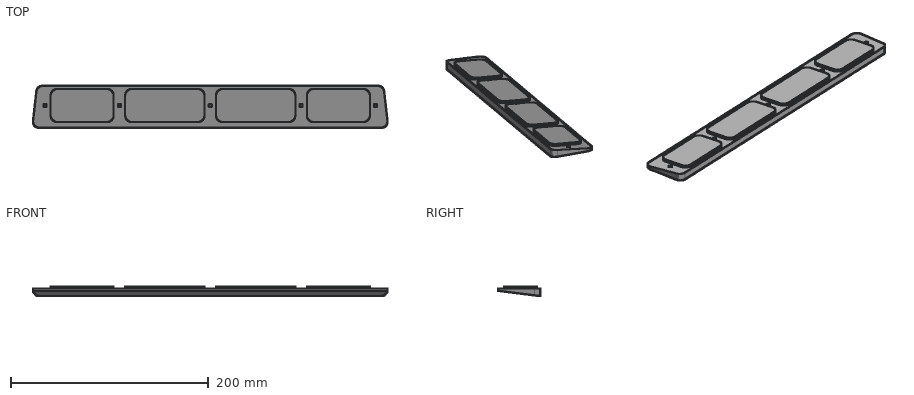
import cadquery as cq
import math

length = 358.5
depth = 42.5
back_thickness = 8.0
front_thickness = 2.5
end_angle = math.radians(6.5)
corner_radius = 6.5

pad_height = 2.0
pad_depth = 33.7
pad_radius = 7.0
pad_back_margin = 3.2
hole_diameter = 3.3
hole_depth = 3.5
inner_hole_pitch = 91.8
outer_hole_pitch = 75.3
pad_gap = 11.5

back_y = depth / 2
front_y = -back_y
row_y = back_y - pad_back_margin - pad_depth / 2
inner_hole_x = inner_hole_pitch
outer_hole_x = inner_hole_pitch + outer_hole_pitch
hole_positions = [-outer_hole_x, -inner_hole_x, 0, inner_hole_x, outer_hole_x]


def make_plate():
    """Trapezoid with rounded corners, its underside sloping up to the front."""
    corner_run = corner_radius * (1 + math.sin(end_angle)) / math.cos(end_angle)
    front_half = length / 2 - corner_radius + corner_run
    back_half = front_half - depth * math.tan(end_angle)
    outline = [
        (-front_half, front_y),
        (front_half, front_y),
        (back_half, back_y),
        (-back_half, back_y),
    ]
    blank = (
        cq.Workplane("XY")
        .polyline(outline)
        .close()
        .extrude(-back_thickness)
        .edges("|Z")
        .fillet(corner_radius)
    )
    wedge = (
        cq.Workplane("YZ")
        .polyline([(front_y, 0), (back_y, 0), (back_y, -back_thickness), (front_y, -front_thickness)])
        .close()
        .extrude(front_half, both=True)
    )
    return blank.intersect(wedge)


def make_pad(left_hole_x, right_hole_x):
    """Rounded pad filling the space between two neighbouring holes."""
    return (
        cq.Workplane("XY")
        .center((left_hole_x + right_hole_x) / 2, row_y)
        .rect(right_hole_x - left_hole_x - pad_gap, pad_depth)
        .extrude(pad_height)
        .edges("|Z")
        .fillet(pad_radius)
    )


def make_holes():
    """Cutters for the row of blind holes."""
    return (
        cq.Workplane("XY")
        .pushPoints([(x, row_y) for x in hole_positions])
        .circle(hole_diameter / 2)
        .extrude(-hole_depth)
    )


result = make_plate()
for left_x, right_x in zip(hole_positions, hole_positions[1:]):
    result = result.union(make_pad(left_x, right_x))
result = result.cut(make_holes())